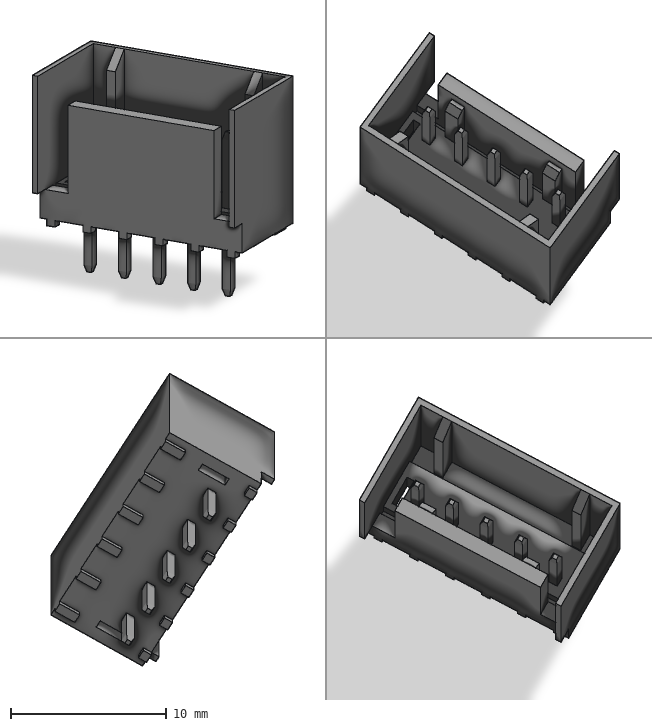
import cadquery as cq


width = 14.83
depth = 7.9
wall_overhang = 1.01
base_depth = depth - wall_overhang
height = 10.0
wall = 0.4
inner_width = width - 2 * wall
floor_height = 2.0

panel_width = 10.7
panel_thickness = 1.0
panel_drop = 2.0
panel_top = height - panel_drop
panel_rear = base_depth - panel_thickness

channel_depth = 1.0
pad_back = 1.93
pad_front = 5.41
channel_floor = floor_height - channel_depth

vent_width = 0.5
vent_length = 2.0
vent_center_x = 6.38
vent_center_y = 3.95

pin_count = 5
pin_pitch = 2.54
pin_side = 0.61
pin_tip_side = 0.31
pin_tip_length = 0.5
pin_y = 4.4
pin_bottom = -4.0
pin_top = 7.16

rib_width = 0.65
rib_reach = 1.2
rib_center_x = pin_pitch * (pin_count - 1) / 2

latch_width = 1.01
latch_reach = 0.77
latch_chamfer = 0.49
latch_center_x = 3.8
latch_drop = 1.0
latch_top = panel_top - latch_drop

foot_count = 6
foot_pitch = 2.64
foot_width = 0.61
foot_height = 0.45
back_foot_depth = 1.5
front_foot_depth = 0.61


def block(x_center, x_size, y_back, y_front, z_low, z_high):
    """Box centred on x_center; y_back and y_front are distances in front of the back face."""
    return (
        cq.Workplane("XY")
        .box(x_size, y_front - y_back, z_high - z_low, centered=(True, False, False))
        .translate((x_center, -y_front, z_low))
    )


def spread(count, pitch):
    """Evenly pitched positions centred on zero."""
    return [(i - (count - 1) / 2) * pitch for i in range(count)]


def side_profile(x_center, x_size, points):
    """Extrude a (Y, Z) outline along X, centred on x_center."""
    return (
        cq.Workplane("YZ")
        .polyline(points)
        .close()
        .extrude(x_size / 2, both=True)
        .translate((x_center, 0, 0))
    )


def make_housing():
    base = block(0, width, 0, base_depth, 0, floor_height)
    back_wall = block(0, width, 0, wall, 0, height)
    panel = block(0, panel_width, panel_rear, base_depth, 0, panel_top)
    housing = base.union(back_wall).union(panel)
    for side in (-1, 1):
        wall_x = side * (width - wall) / 2
        housing = housing.union(block(wall_x, wall, 0, depth, floor_height, height))
    return housing


def cut_floor(housing):
    for y_back, y_front in ((wall, pad_back), (pad_front, panel_rear)):
        housing = housing.cut(block(0, inner_width, y_back, y_front, channel_floor, floor_height))
    vent_back = vent_center_y - vent_length / 2
    for side in (-1, 1):
        vent = block(side * vent_center_x, vent_width, vent_back, vent_back + vent_length, 0, height)
        housing = housing.cut(vent)
    return housing


def make_rib(x):
    """Rib with a 45 degree lead-in that starts at the top of the back wall."""
    rib_front = -(wall + rib_reach)
    return side_profile(
        x,
        rib_width,
        [(0, channel_floor), (0, height), (-wall, height),
         (rib_front, height - rib_reach), (rib_front, channel_floor)],
    )


def make_latch(x):
    """Bump with a sloped upper edge, running down to the channel floor."""
    latch_back = latch_reach - panel_rear
    return side_profile(
        x,
        latch_width,
        [(-base_depth, channel_floor), (-base_depth, latch_top),
         (latch_back - latch_chamfer, latch_top),
         (latch_back, latch_top - latch_chamfer), (latch_back, channel_floor)],
    )


def make_pin(x):
    """Square pin tapered at both ends."""
    shaft_low = pin_bottom + pin_tip_length
    shaft_high = pin_top - pin_tip_length
    pin = block(x, pin_side, pin_y - pin_side / 2, pin_y + pin_side / 2, shaft_low, shaft_high)
    for z, tip_length in ((shaft_low, -pin_tip_length), (shaft_high, pin_tip_length)):
        tip = (
            cq.Workplane("XY", origin=(x, -pin_y, z))
            .rect(pin_side, pin_side)
            .workplane(offset=tip_length)
            .rect(pin_tip_side, pin_tip_side)
            .loft()
        )
        pin = pin.union(tip)
    return pin


def make_feet(x):
    back = block(x, foot_width, 0, back_foot_depth, -foot_height, channel_floor)
    front = block(x, foot_width, base_depth - front_foot_depth, base_depth, -foot_height, channel_floor)
    return back.union(front)


result = cut_floor(make_housing())
for side in (-1, 1):
    result = result.union(make_rib(side * rib_center_x))
    result = result.union(make_latch(side * latch_center_x))
for foot_x in spread(foot_count, foot_pitch):
    result = result.union(make_feet(foot_x))
for pin_x in spread(pin_count, pin_pitch):
    result = result.union(make_pin(pin_x))